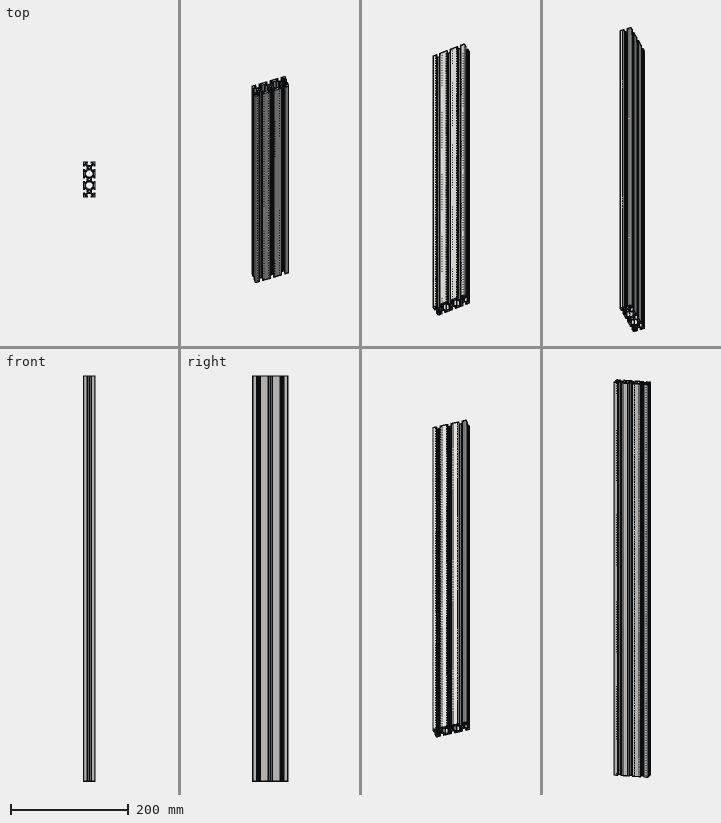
import cadquery as cq
import math

cell = 20.0
cell_count = 3
length = 690.0
corner_radius = 1.0

mouth_width = 6.0
lip_thickness = 2.0
pocket_width = 12.0
slot_depth = 5.9
groove_width = 1.0
groove_depth = 0.3

side_wall = 3.5
web_thickness = 1.8
bore_diameter = 4.2

half_cell = cell / 2
width = cell
height = cell * cell_count
cell_centers = [(i - (cell_count - 1) / 2) * cell for i in range(cell_count)]
joint_centers = [(a + b) / 2 for a, b in zip(cell_centers, cell_centers[1:])]
core_half = half_cell - slot_depth
web_offset = web_thickness / math.sqrt(2)
floor_half = core_half - web_offset


def extrude_outline(outline):
    """Prism of the full length over a closed outline."""
    return cq.Workplane("XY").polyline(outline).close().extrude(length)


def slot(center_y, angle):
    """Slot cutter for the cell at center_y, opening along +X turned by angle degrees."""
    lip_inside = half_cell - lip_thickness
    pocket_half = pocket_width / 2
    upper_half = [
        (half_cell, mouth_width / 2),
        (lip_inside, mouth_width / 2),
        (lip_inside, pocket_half),
        (pocket_half + web_offset, pocket_half),
        (core_half, floor_half),
        (core_half, groove_width / 2),
    ]
    lower_half = [(x, -y) for x, y in reversed(upper_half)]
    groove_bottom = (core_half - groove_depth, 0)
    cutter = extrude_outline(upper_half + [groove_bottom] + lower_half)
    return cutter.rotate((0, 0, 0), (0, 0, 1), angle).translate((0, center_y, 0))


def joint_cavity(center_y):
    """Closed eight-sided cavity between two neighbouring cells."""
    side_x = half_cell - side_wall
    side_half = side_wall - web_offset
    floor_y = half_cell - core_half
    upper_half = [
        (side_x, side_half),
        (floor_half, floor_y),
        (-floor_half, floor_y),
        (-side_x, side_half),
    ]
    lower_half = [(x, -y) for x, y in reversed(upper_half)]
    return extrude_outline(upper_half + lower_half).translate((0, center_y, 0))


def bore(center_y):
    """Round bore along the middle of one cell."""
    return cq.Workplane("XY").center(0, center_y).circle(bore_diameter / 2).extrude(length)


result = cq.Workplane("XY").rect(width, height).extrude(length)
result = result.edges("|Z").fillet(corner_radius)
for y in cell_centers:
    result = result.cut(slot(y, 0)).cut(slot(y, 180)).cut(bore(y))
result = result.cut(slot(cell_centers[-1], 90)).cut(slot(cell_centers[0], -90))
for y in joint_centers:
    result = result.cut(joint_cavity(y))